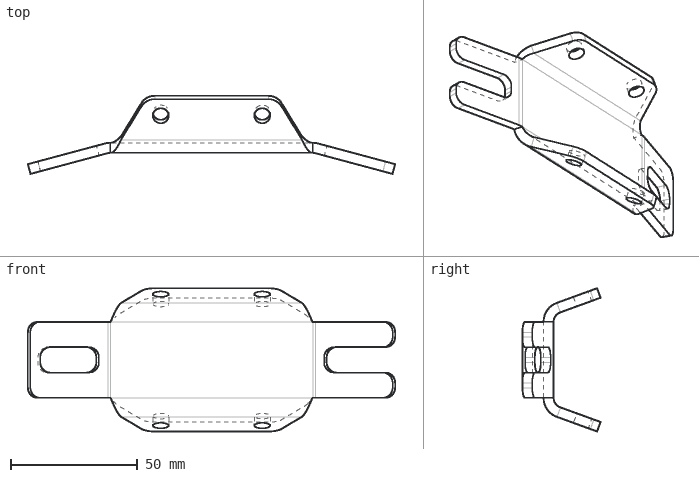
import cadquery as cq
import math

overall_length = 145.0
thickness = 4.0
bend_outer_radius = 8.0
bend_inner_radius = bend_outer_radius - thickness
corner_radius = thickness

plate_length = 79.7
plate_height = 30.0
half_length = plate_length / 2
half_height = plate_height / 2

flange_length = 17.0
flange_angle = 70.0
flange_taper = 30.0
flange_corner_radius = 6.0
hole_diameter = 6.2
hole_spacing = 40.0
hole_edge_distance = 7.0

arm_angle = 15.0
slot_width = plate_height / 3
slot_length = 23.9
slot_edge_distance = thickness

flange_sine = math.sin(math.radians(flange_angle))
flange_cosine = math.cos(math.radians(flange_angle))
arm_sine = math.sin(math.radians(arm_angle))
arm_cosine = math.cos(math.radians(arm_angle))
arm_length = (overall_length / 2 - half_length - bend_outer_radius * arm_sine) / arm_cosine

taper_slope = math.tan(math.radians(flange_taper))
neutral_radius = (bend_inner_radius + bend_outer_radius) / 2
bend_inset = taper_slope * neutral_radius * math.radians(flange_angle)


def bend_side_cutter():
    """Block whose helical inner face trims the +X side of the upper bend."""
    steps = 8
    clearance = thickness / 2

    def helix(radius):
        points = []
        for step in range(steps + 1):
            turn = math.radians(flange_angle) * step / steps
            points.append(cq.Vector(
                half_length - bend_inset * step / steps,
                bend_outer_radius - radius * math.cos(turn),
                half_height + radius * math.sin(turn),
            ))
        return cq.Edge.makeSpline(points)

    side = cq.Face.makeRuledSurface(
        helix(bend_inner_radius - clearance), helix(bend_outer_radius + clearance)
    )
    return cq.Workplane(cq.Solid.extrudeLinear(side, cq.Vector(plate_length / 2, 0, 0)))


def flange_bend():
    """Upper bend, tapering from the plate edge to the flat of the flange."""
    bend = (
        cq.Workplane("XY", origin=(0, thickness / 2, half_height))
        .rect(plate_length, thickness)
        .revolve(
            flange_angle,
            (0, bend_outer_radius - thickness / 2, 0),
            (-1, bend_outer_radius - thickness / 2, 0),
        )
    )
    cutter = bend_side_cutter()
    return bend.cut(cutter).cut(cutter.mirror("YZ"))


def flange_flat():
    """Upper trapezoidal flange with rounded outer corners and two holes."""
    base = half_length - bend_inset
    tip = base - taper_slope * flange_length
    plane = cq.Plane(
        origin=(
            0,
            bend_outer_radius * (1 - flange_cosine),
            half_height + bend_outer_radius * flange_sine,
        ),
        xDir=(-1, 0, 0),
        normal=(0, flange_cosine, -flange_sine),
    )
    return (
        cq.Workplane(plane)
        .polyline([(-base, 0), (base, 0), (tip, flange_length), (-tip, flange_length)])
        .close()
        .extrude(thickness)
        .edges(cq.selectors.ParallelDirSelector(plane.zDir))
        .edges(">Y")
        .fillet(flange_corner_radius)
        .cut(
            cq.Workplane(plane)
            .pushPoints([
                (side * hole_spacing / 2, flange_length - hole_edge_distance)
                for side in (-1, 1)
            ])
            .circle(hole_diameter / 2)
            .extrude(thickness)
        )
    )


def arm_bend():
    """Bend joining the +X end of the plate to its arm."""
    return (
        cq.Workplane("YZ", origin=(half_length, thickness / 2, 0))
        .rect(thickness, plate_height)
        .revolve(
            arm_angle,
            (-neutral_radius, 0, 0),
            (-neutral_radius, -1, 0),
        )
    )


def arm_blank():
    """Plain +X arm, laid flat with its bend end on X = 0."""
    return cq.Workplane("XY").box(
        arm_length, thickness, plate_height, centered=(False, False, True)
    )


def slot_cutter(length):
    """Round-cornered slot starting at the inner slot end."""
    start = arm_length - slot_edge_distance - slot_length
    return (
        cq.Workplane("XY")
        .box(length, thickness, slot_width, centered=(False, False, True))
        .edges("|Y")
        .fillet(corner_radius)
        .translate((start, 0, 0))
    )


def place_arm(flat_arm):
    """Tilt a flat arm and move it to the end of the +X bend."""
    return flat_arm.rotate((0, 0, 0), (0, 0, 1), -arm_angle).translate((
        half_length + bend_inner_radius * arm_sine,
        -bend_inner_radius * (1 - arm_cosine),
        0,
    ))


slotted_arm = arm_blank().edges("|Y and >X").fillet(corner_radius).cut(slot_cutter(slot_length))
forked_arm = arm_blank().cut(slot_cutter(2 * slot_length)).edges("|Y and >X").fillet(corner_radius)

flange = flange_bend().union(flange_flat())
bend = arm_bend()

result = (
    cq.Workplane("XY")
    .box(plate_length, thickness, plate_height, centered=(True, False, True))
    .union(flange)
    .union(flange.mirror("XY"))
    .union(bend)
    .union(bend.mirror("YZ"))
    .union(place_arm(forked_arm))
    .union(place_arm(slotted_arm).mirror("YZ"))
)